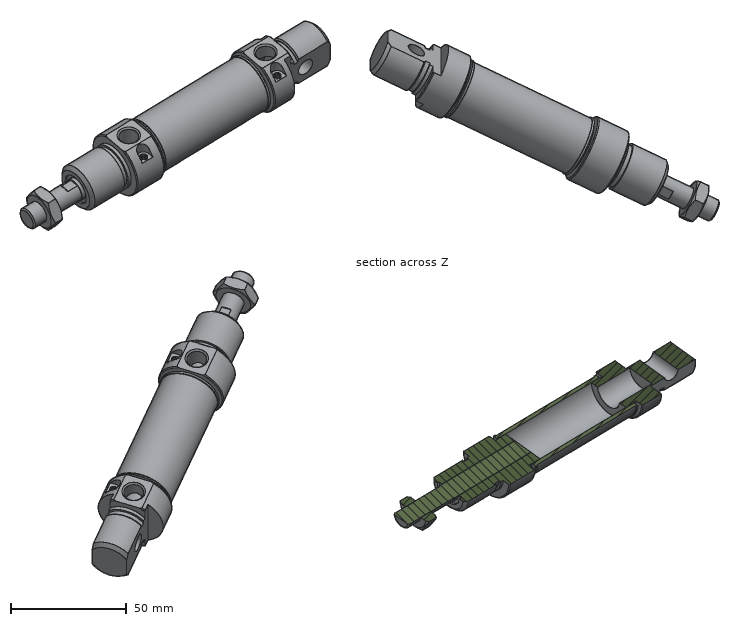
import cadquery as cq
import math


total_length = 165.0
nut_start = 7.1
nut_thickness = 6.0
rod_flat_start = 21.5
wiper_face = 26.9
nose_face = 27.7
front_groove_start = 46.0
front_groove_end = 48.2
front_collar_start = 49.8
front_collar_end = 65.3
tube_start = 66.5
tube_end = 126.4
rear_collar_start = 127.5
rear_collar_end = 142.7
rear_groove_start = 144.4
rear_groove_end = 146.5

rod_dia = 10.0
collar_dia = 30.0
collar_chamfer = 0.5
collar_flat_height = 13.5
thread_dia = 22.0
groove_dia = 20.0
thread_chamfer = 1.6
spigot_depth = 5.0

tube_dia = 26.4
tube_rim_dia = 27.2
tube_rim_width = 1.0

rod_tip_chamfer = 0.7
rod_flat_distance = 9.0
nut_across_flats = 17.0
nut_face_dia = 16.0
nut_chamfer_angle = 30.0

port_dia = 8.5
port_mouth_dia = 10.0
port_mouth_depth = (port_mouth_dia - port_dia) / 2
front_port_y = 57.8
rear_port_y = 135.1

screw_x = 9.9
front_screw_y = 57.8
rear_screw_y = 133.3
screw_pocket_dia = 6.0
screw_pocket_floor = 8.1
screw_hole_dia = 3.5
screw_head_dia = 2.5
screw_slot_width = 0.7
screw_detail_depth = 0.5

nose_recess_dia = 14.0
nose_recess_depth = 1.0
wiper_dia = 10.5

rear_bore_dia = 14.0
rear_bore_end = 140.2
clevis_width = 16.0
clevis_flat_start = 139.0
clevis_hole_dia = 8.0
clevis_hole_y = 151.0
rear_groove_chamfer = 0.7


def turned(profile):
    """Solid of revolution about Y from (radius, y) corners; the axis closes the outline."""
    axis_start = (0, profile[0][1])
    axis_end = (0, profile[-1][1])
    outline = cq.Workplane("XY").polyline([axis_start, *profile, axis_end]).close()
    return outline.revolve(360, (0, 0, 0), (0, 1, 0))


def rod_along_y(diameter, start, end):
    """Cylinder on the Y axis from start to end."""
    radius = diameter / 2
    return turned([(radius, start), (radius, end)])


def upright(diameter, x, y, bottom, top):
    """Vertical cylinder between two heights."""
    plane = cq.Workplane("XY", origin=(x, y, bottom))
    return plane.circle(diameter / 2).extrude(top - bottom)


def slab(x_range, y_range, z_range):
    """Box given by its limits on each axis."""
    size = [high - low for low, high in (x_range, y_range, z_range)]
    corner = (x_range[0], y_range[0], z_range[0])
    return cq.Workplane("XY").box(*size, centered=False).translate(corner)


def collar_profile(start, end):
    """Corners of a chamfered collar between two stations."""
    radius = collar_dia / 2
    return [
        (radius - collar_chamfer, start),
        (radius, start + collar_chamfer),
        (radius, end - collar_chamfer),
        (radius - collar_chamfer, end),
    ]


def cut_collar_flat(cap, start, end):
    """Mill the flat top of a collar."""
    half = collar_dia / 2
    return cap.cut(slab((-half, half), (start, end), (collar_flat_height, collar_dia)))


def cut_port(cap, y):
    """Countersunk air port from the flat top down to the axis."""
    mouth = (
        cq.Workplane("XY", origin=(0, y, collar_flat_height))
        .circle(port_mouth_dia / 2)
        .workplane(offset=-port_mouth_depth)
        .circle(port_dia / 2)
        .loft()
    )
    bore = upright(port_dia, 0, y, 0, collar_flat_height)
    return cap.cut(bore).cut(mouth)


def cut_screw(cap, y):
    """Pocket open to +X, with a slotted screw head in its floor."""
    half_pocket = screw_pocket_dia / 2
    half_slot = screw_slot_width / 2
    floor = screw_pocket_floor
    detail_bottom = floor - screw_detail_depth
    pocket = upright(screw_pocket_dia, screw_x, y, floor, collar_dia / 2).union(
        slab((screw_x, collar_dia / 2), (y - half_pocket, y + half_pocket), (floor, collar_dia / 2))
    )
    head = upright(screw_head_dia, screw_x, y, detail_bottom, floor)
    ring = upright(screw_hole_dia, screw_x, y, detail_bottom, floor).cut(head)
    slot = slab(
        (screw_x - half_slot, screw_x + half_slot),
        (y - screw_head_dia / 2, y + screw_head_dia / 2),
        (detail_bottom, floor),
    ).intersect(head)
    return cap.cut(pocket).cut(ring).cut(slot)


def make_tube():
    """Barrel with a narrow raised rim at each end."""
    radius = tube_dia / 2
    rim_radius = tube_rim_dia / 2
    barrel = turned([
        (rim_radius, tube_start),
        (rim_radius, tube_start + tube_rim_width),
        (radius, tube_start + tube_rim_width),
        (radius, tube_end - tube_rim_width),
        (rim_radius, tube_end - tube_rim_width),
        (rim_radius, tube_end),
    ])
    return barrel.cut(rod_along_y(thread_dia, tube_start, tube_end))


def make_front_cap():
    """Threaded nose, grooved neck, collar and the spigot that enters the tube."""
    radius = thread_dia / 2
    groove_radius = groove_dia / 2
    spigot_end = tube_start + spigot_depth
    cap = turned([
        (radius - thread_chamfer, nose_face),
        (radius, nose_face + thread_chamfer),
        (radius, front_groove_start),
        (groove_radius, front_groove_start),
        (groove_radius, front_groove_end),
        (radius, front_groove_end),
        (radius, front_collar_start),
        *collar_profile(front_collar_start, front_collar_end),
        (radius, front_collar_end),
        (radius, spigot_end),
    ])
    recess_floor = nose_face + nose_recess_depth
    cap = cap.cut(rod_along_y(nose_recess_dia, nose_face, recess_floor))
    cap = cap.union(rod_along_y(wiper_dia, wiper_face, recess_floor))
    cap = cut_collar_flat(cap, front_collar_start, front_collar_end)
    cap = cut_port(cap, front_port_y)
    cap = cut_screw(cap, front_screw_y)
    return cap.cut(rod_along_y(rod_dia, wiper_face, spigot_end))


def make_rear_cap():
    """Spigot, collar and grooved barrel flattened into a clevis with a cross hole."""
    radius = thread_dia / 2
    groove_radius = groove_dia / 2
    spigot_start = tube_end - spigot_depth
    cap = turned([
        (radius, spigot_start),
        (radius, rear_collar_start),
        *collar_profile(rear_collar_start, rear_collar_end),
        (radius, rear_collar_end),
        (radius, rear_groove_start),
        (groove_radius, rear_groove_start),
        (groove_radius, rear_groove_end),
        (radius - rear_groove_chamfer, rear_groove_end),
        (radius, rear_groove_end + rear_groove_chamfer),
        (radius, total_length - thread_chamfer),
        (radius - thread_chamfer, total_length),
    ])
    cap = cut_collar_flat(cap, rear_collar_start, rear_collar_end)
    half_collar = collar_dia / 2
    for x_range in ((-half_collar, -clevis_width / 2), (clevis_width / 2, half_collar)):
        cap = cap.cut(slab(x_range, (clevis_flat_start, total_length), (-half_collar, half_collar)))
    cross_hole = (
        cq.Workplane("YZ", origin=(-clevis_width / 2, clevis_hole_y, 0))
        .circle(clevis_hole_dia / 2)
        .extrude(clevis_width)
    )
    cap = cap.cut(cross_hole)
    cap = cap.cut(rod_along_y(rear_bore_dia, spigot_start, rear_bore_end))
    cap = cut_port(cap, rear_port_y)
    return cut_screw(cap, rear_screw_y)


def make_rod():
    """Piston rod with a chamfered tip and two wrench flats facing up and down."""
    radius = rod_dia / 2
    rod = turned([
        (radius - rod_tip_chamfer, 0),
        (radius, rod_tip_chamfer),
        (radius, tube_start + spigot_depth),
    ])
    half_flats = rod_flat_distance / 2
    for z_range in ((-radius, -half_flats), (half_flats, radius)):
        rod = rod.cut(slab((-radius, radius), (rod_flat_start, wiper_face), z_range))
    return rod


def make_nut():
    """Hexagon nut with flats facing up and down, chamfered on both faces."""
    nut_end = nut_start + nut_thickness
    corner_radius = nut_across_flats / 2 / math.cos(math.pi / 6)
    face_radius = nut_face_dia / 2
    chamfer_length = (corner_radius - face_radius) * math.tan(math.radians(nut_chamfer_angle))
    hexagon = (
        cq.Workplane("XZ", origin=(0, nut_end, 0))
        .polygon(6, 2 * corner_radius)
        .extrude(nut_thickness)
    )
    chamfers = turned([
        (face_radius, nut_start),
        (corner_radius, nut_start + chamfer_length),
        (corner_radius, nut_end - chamfer_length),
        (face_radius, nut_end),
    ])
    return hexagon.intersect(chamfers).cut(rod_along_y(rod_dia, nut_start, nut_end))


tube = make_tube()
front_cap = make_front_cap()
rear_cap = make_rear_cap()
rod = make_rod()
nut = make_nut()

result = cq.Compound.makeCompound([
    tube.val(),
    front_cap.val(),
    rear_cap.val(),
    rod.val(),
    nut.val(),
])